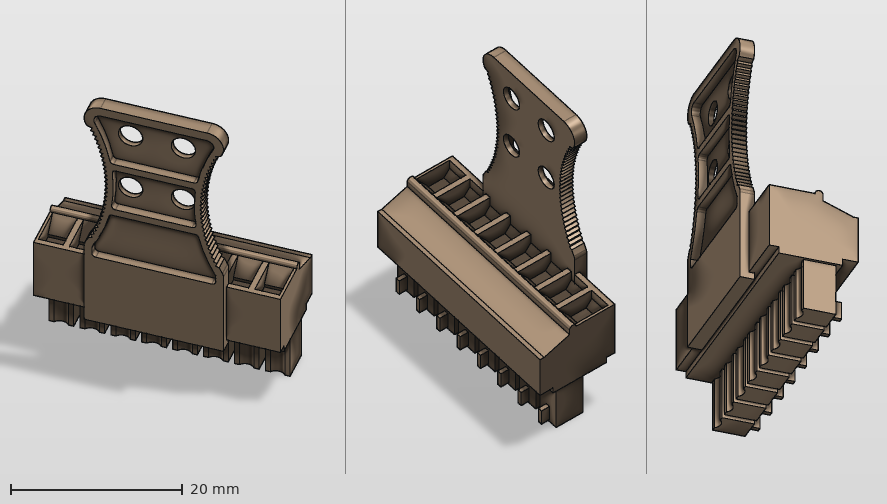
import cadquery as cq
import math


total_height = 39.75
housing_width = 30.5
total_depth = 12.2

contact_count = 8
contact_pitch = 3.8
contact_width = 3.05
contact_front = 5.53
contact_back = 9.55
contact_length = 6.6
groove_width = 1.83
groove_depth = 0.45
key_width = 0.6
key_reach = 1.2
key_bottom = 0.3
key_top = 2.55

handle_thickness = 1.83
handle_width = 17.2
corner_radius = 2.03
grip_radius = 19.2
grip_waist = 12.1
grip_center_z = 27.95
shoulder_radius = 1.05
tooth_angle = 1.9
tooth_depth = 0.3
notch_count = 28

pocket_depth = 1.1
rim_width = 1.05
pocket_corner_radius = 0.48
head_pocket_radius = 0.87
head_pocket_bottom = 31.55
head_pocket_top = 38.55
middle_pocket_bottom = 24.6
middle_pocket_top = 30.6
lower_pocket_bottom = 16.58
lower_pocket_top = 23.65
lower_pocket_width = 15.25
hole_diameter = 3.0
hole_spacing_x = 6.5
hole_rows_z = (27.6, 35.55)

housing_front = 1.1
plinth_front = 2.3
plinth_back = 10.25
housing_bottom = 7.45
housing_top = 15.62
rear_edge_z = 13.45
rear_ledge = 0.6
ridge_back = 7.85
ridge_width = 1.0
ridge_foot_z = 14.83
ridge_radius = ridge_width / 2
ridge_center_y = ridge_back - ridge_radius

funnel_back = ridge_back - ridge_width
funnel_floor_z = 13.2
funnel_floor_front = 2.65
funnel_floor_back = 5.2
funnel_front_rise = 1.07
funnel_back_rise = 0.4

contact_positions = [(i - (contact_count - 1) / 2) * contact_pitch for i in range(contact_count)]
grip_center_x = grip_waist / 2 + grip_radius
corner_center_x = handle_width / 2 - corner_radius
corner_center_z = total_height - corner_radius


def block(width, y_min, y_max, z_min, z_max, x_center=0.0):
    """Box centred on x_center and spanning the given Y and Z ranges."""
    box = cq.Workplane("XY").box(width, y_max - y_min, z_max - z_min, centered=(True, False, False))
    return box.translate((x_center, y_min, z_min))


def cylinder_along_y(x, z, radius, length):
    """Cylinder parallel to Y that starts at Y = 0."""
    return cq.Workplane("XZ").center(x, z).circle(radius).extrude(-length)


def side_cylinders(radius, length):
    """Pair of cylinders, one on each side, that hollow out the waist."""
    left = cylinder_along_y(-grip_center_x, grip_center_z, radius, length)
    return left.union(cylinder_along_y(grip_center_x, grip_center_z, radius, length))



def grip_point(radius, angle):
    """Point at the given angle and radius on the right-hand waist."""
    turn = math.radians(angle)
    return (grip_center_x - radius * math.cos(turn), grip_center_z + radius * math.sin(turn))


def waist_meets_corner():
    """Angle on the waist at which its arc runs into the round upper corner."""
    run = grip_center_x - corner_center_x
    rise = corner_center_z - grip_center_z
    distance = math.hypot(run, rise)
    reach = (distance**2 + grip_radius**2 - corner_radius**2) / (2 * distance)
    return math.degrees(math.atan2(rise, run) - math.acos(reach / grip_radius))


def handle_plate():
    """Waisted plate with round upper corners and softened shoulders."""
    half_width = handle_width / 2
    shoulder_angle = -math.degrees(math.acos((grip_center_x - half_width) / grip_radius))
    shoulder_z = grip_point(grip_radius, shoulder_angle)[1]
    right_half = (
        cq.Workplane("XZ")
        .moveTo(0, contact_length)
        .lineTo(half_width, contact_length)
        .lineTo(half_width, shoulder_z)
        .threePointArc(grip_point(grip_radius, 0), grip_point(grip_radius, waist_meets_corner()))
        .threePointArc((half_width, corner_center_z), (corner_center_x, total_height))
        .lineTo(0, total_height)
    )
    plate = right_half.mirrorY().extrude(-handle_thickness)
    for side in (-1, 1):
        shoulder = cq.selectors.NearestToPointSelector((side * half_width, handle_thickness / 2, shoulder_z))
        plate = plate.edges("|Y").edges(shoulder).fillet(shoulder_radius)
    return plate


def notch_mouth(apex, tip):
    """Point as far beyond a tooth tip as the tip is from the apex of the notch."""
    return (2 * tip[0] - apex[0], 2 * tip[1] - apex[1])


def grip_notches():
    """V-notches side by side along the right-hand waist, leaving pointed teeth.

    Each V reaches past the tooth tips so that it also opens through the round upper corner.
    """
    notches = cq.Workplane("XZ")
    for i in range(notch_count):
        angle = (i - (notch_count - 1) / 2) * tooth_angle
        apex = grip_point(grip_radius + tooth_depth, angle)
        lower_tip = grip_point(grip_radius, angle - tooth_angle / 2)
        upper_tip = grip_point(grip_radius, angle + tooth_angle / 2)
        outline = [notch_mouth(apex, lower_tip), apex, notch_mouth(apex, upper_tip)]
        notch = cq.Workplane("XZ").polyline(outline).close().extrude(-handle_thickness)
        notches = notches.add(notch)
    return notches.combine()


def pocket(z_min, z_max, width):
    """Pocket with sides that run parallel to the waist, before its corners are rounded."""
    return block(width, 0, pocket_depth, z_min, z_max).cut(side_cylinders(grip_radius + rim_width, pocket_depth))


def make_handle():
    handle = handle_plate()
    notches = grip_notches()
    handle = handle.cut(notches).cut(notches.mirror("YZ"))

    head_pocket = pocket(head_pocket_bottom, head_pocket_top, handle_width)
    head_pocket = head_pocket.edges("|Y and >Z").fillet(head_pocket_radius)
    head_pocket = head_pocket.edges("|Y and <Z").fillet(pocket_corner_radius)
    middle_pocket = pocket(middle_pocket_bottom, middle_pocket_top, handle_width)
    middle_pocket = middle_pocket.edges("|Y").fillet(pocket_corner_radius)
    lower_pocket = pocket(lower_pocket_bottom, lower_pocket_top, lower_pocket_width)
    lower_pocket = lower_pocket.edges("|Y and (>Z or <Z)").fillet(pocket_corner_radius)
    for recess in (head_pocket, middle_pocket, lower_pocket):
        handle = handle.cut(recess)

    for z in hole_rows_z:
        for side in (-1, 1):
            hole = cylinder_along_y(side * hole_spacing_x / 2, z, hole_diameter / 2, handle_thickness)
            handle = handle.cut(hole)
    return handle



def housing_shell():
    """Solid housing with its plinth, rear slope and rounded ridge."""
    section = (
        cq.Workplane("YZ")
        .moveTo(housing_front, housing_bottom)
        .lineTo(plinth_front, housing_bottom)
        .lineTo(plinth_front, contact_length)
        .lineTo(plinth_back, contact_length)
        .lineTo(plinth_back, housing_bottom)
        .lineTo(total_depth, housing_bottom)
        .lineTo(total_depth, rear_edge_z)
        .lineTo(total_depth - rear_ledge, rear_edge_z)
        .lineTo(ridge_back, ridge_foot_z)
        .lineTo(ridge_back, housing_top)
        .threePointArc((ridge_center_y, housing_top + ridge_radius), (funnel_back, housing_top))
        .lineTo(housing_front, housing_top)
        .close()
    )
    return section.extrude(housing_width / 2, both=True)


def funnel(x):
    """Compartment open at the top, with a sloped back and a small slope at the foot of its front."""
    outline = [
        (handle_thickness, housing_top),
        (handle_thickness, funnel_floor_z + funnel_front_rise),
        (funnel_floor_front, funnel_floor_z),
        (funnel_floor_back, funnel_floor_z),
        (funnel_floor_back, funnel_floor_z + funnel_back_rise),
        (funnel_back, housing_top),
    ]
    section = cq.Workplane("YZ").polyline(outline).close()
    return section.extrude(contact_width / 2, both=True).translate((x, 0, 0))


def contact(x):
    """Contact sleeve with a hollow round groove in front and a narrow key at the back."""
    sleeve = block(contact_width, contact_front, contact_back, 0, contact_length, x)
    half_groove = groove_width / 2
    groove = (
        cq.Workplane("XY")
        .moveTo(x - half_groove, contact_front)
        .threePointArc((x, contact_front + groove_depth), (x + half_groove, contact_front))
        .close()
        .extrude(contact_length)
    )
    key = block(key_width, contact_back, contact_back + key_reach, key_bottom, key_top, x)
    return sleeve.cut(groove).union(key)


def make_housing():
    housing = housing_shell()
    for x in contact_positions:
        housing = housing.cut(funnel(x)).union(contact(x))
    handle_recess = block(handle_width, housing_front, handle_thickness, housing_bottom, housing_top)
    return housing.cut(handle_recess)


handle = make_handle()
housing = make_housing()
result = cq.Compound.makeCompound([handle.solids().val(), housing.solids().val()])